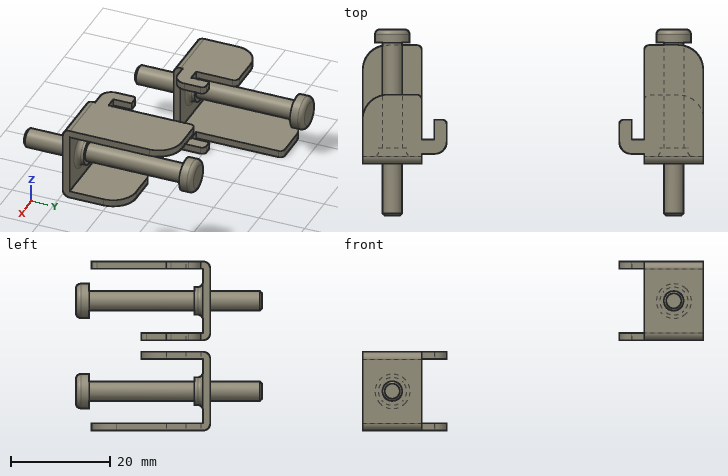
import cadquery as cq

overall_width = 68.8
overall_height = 34.2

sheet = 1.5
web_width = 12.0
bracket_height = 15.95
long_flange = 24.0
short_flange = 14.0
large_corner_radius = 5.0
small_corner_radius = 1.0

hook_reach = 5.0
hook_gap = 2.5
hook_bottom = 2.0
hook_slot_floor = 4.95
hook_tip = 8.95
hook_bend_radius = 2.5
hook_tip_radius = 0.9

shank_radius = 2.0
tip_y = -10.45
tip_chamfer = 0.5
head_radius = 3.5
head_length = 2.7
head_end_y = 27.2
head_edge_radius = 1.0

collar_radius = 2.8
collar_end_y = 3.2
collar_root_radius = 1.0

screw_x = overall_width / 2 - web_width / 2
screw_z = overall_height / 2 - bracket_height / 2


def cylinder_along_y(radius, y_start, y_end):
    """Cylinder on the Y axis between two Y positions."""
    return cq.Workplane("XZ", origin=(0, y_start, 0)).circle(radius).extrude(y_start - y_end)


def make_hook():
    """L-shaped hook plate, resting on z = 0 and starting at the flange edge."""
    inner_x = web_width / 2
    outer_x = inner_x + hook_reach
    finger_x = inner_x + hook_gap
    outline = [
        (inner_x, hook_bottom),
        (outer_x, hook_bottom),
        (outer_x, hook_tip),
        (finger_x, hook_tip),
        (finger_x, hook_slot_floor),
        (inner_x, hook_slot_floor),
    ]
    hook = cq.Workplane("XY").polyline(outline).close().extrude(sheet)
    hook = hook.edges("|Z and >X and <Y").fillet(hook_bend_radius)
    return hook.edges("|Z and >X and >Y").fillet(hook_tip_radius)


def make_flange(length, bottom_z):
    """Flange plate with two rounded free corners and its hook."""
    plate = cq.Workplane("XY").box(web_width, length, sheet, centered=(True, False, False))
    plate = plate.edges("|Z and <X and >Y").fillet(large_corner_radius)
    plate = plate.edges("|Z and >X and >Y").fillet(small_corner_radius)
    return plate.union(make_hook()).translate((0, 0, bottom_z))


def make_bracket():
    """Web and two unequal flanges, with the outer bends rounded."""
    web = cq.Workplane("XY").box(web_width, sheet, bracket_height, centered=(True, False, True))
    bracket = web.union(make_flange(long_flange, -bracket_height / 2))
    bracket = bracket.union(make_flange(short_flange, bracket_height / 2 - sheet))
    return bracket.edges("|X and <Y").fillet(sheet)


def make_collar():
    """Ring on the inner web face, flaring into the web with a concave root."""
    root_end_y = sheet + collar_root_radius
    return (
        cq.Workplane("XY")
        .moveTo(0, sheet)
        .lineTo(collar_radius + collar_root_radius, sheet)
        .radiusArc((collar_radius, root_end_y), collar_root_radius)
        .lineTo(collar_radius, collar_end_y)
        .lineTo(0, collar_end_y)
        .close()
        .revolve(360, (0, 0, 0), (0, 1, 0))
    )


def make_screw():
    """Shank with a chamfered tip and a round-edged head."""
    shank = cylinder_along_y(shank_radius, tip_y, head_end_y)
    shank = shank.faces("<Y").chamfer(tip_chamfer)
    head = cylinder_along_y(head_radius, head_end_y - head_length, head_end_y)
    head = head.faces(">Y").edges().fillet(head_edge_radius)
    return shank.union(head)


def make_clamp(turn):
    """One clamp: bracket and screw as a single solid, turned about Y into its place."""
    clamp = make_bracket().union(make_collar()).union(make_screw())
    clamp = clamp.translate((-screw_x, 0, -screw_z))
    return clamp.rotate((0, 0, 0), (0, 1, 0), turn)


clamps = [make_clamp(turn) for turn in (0, 180)]

result = cq.Compound.makeCompound([clamp.val() for clamp in clamps])